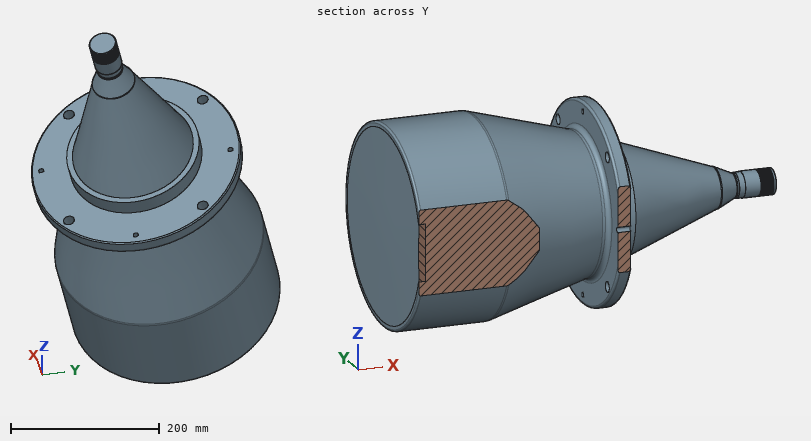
import cadquery as cq
import math

TOTAL_LENGTH = 561.5
HORN_RADIUS = 286.0 / 2

RIM_FRONT = 1.5
DRUM_END = 130.0
SHOULDER_FILLET = 11.0
RIM_ROUND = 3.0
NECK_RADIUS = 101.5
NECK_START = 278.0
NECK_FILLET = 7.0
FLANGE_FRONT = 288.5
FLANGE_THICKNESS = 19.0
FLANGE_FRONT_ROUND = 3.5
FLANGE_REAR_CHAMFER = 1.5
BOLT_CIRCLE_RADIUS = 129.0
HOLES_PER_RING = 4
BOLT_HOLE_ANGLE = 45
PIN_HOLE_ANGLE = 0
BOLT_HOLE_DIAMETER = 14.5
PIN_HOLE_DIAMETER = 7.0

LENS_RADIUS = 135.5
LENS_BACK = 11.0

COLLAR_RADIUS = 90.5
COLLAR_LENGTH = 22.5
CONE_BASE_RADIUS = 82.5
CONE_TIP_RADIUS = 29.0
CONE_END = 477.0

ADAPTER_RIM_WIDTH = 1.5
ADAPTER_TAPER_END = 504.0
ADAPTER_END = 506.0

NECK_GROOVE_END = 508.0
SHANK_RADIUS = 18.0
NECK_GROOVE_DEPTH = 0.5
NECK_GROOVE_RADIUS = SHANK_RADIUS - NECK_GROOVE_DEPTH
BARREL_START = 516.5
BARREL_RADIUS = 18.5
RING_GROOVE_START = 539.0
RING_GROOVE_PITCH = 3.5
RING_GROOVE_WIDTH = RING_GROOVE_PITCH / 2
RING_GROOVE_DEPTH = 1.0
RING_GROOVE_COUNT = 6
END_CHAMFER = 1.0

FLANGE_REAR = FLANGE_FRONT + FLANGE_THICKNESS


def turned(profile):
    """Solid of revolution about X of a profile of (x, radius) points, which is closed here."""
    return profile.close().revolve(360, (0, 0, 0), (1, 0, 0))


def flange_holes(diameter, start_angle):
    """Cutters for one ring of through holes in the flange."""
    return (
        cq.Workplane("YZ", origin=(FLANGE_FRONT, 0, 0))
        .polarArray(BOLT_CIRCLE_RADIUS, start_angle, 360, HOLES_PER_RING)
        .circle(diameter / 2)
        .extrude(FLANGE_THICKNESS)
    )


def make_horn():
    taper_angle = math.atan2(HORN_RADIUS - NECK_RADIUS, NECK_START - DRUM_END)
    tangent_length = SHOULDER_FILLET * math.tan(taper_angle / 2)
    shoulder_end = (
        DRUM_END + tangent_length * math.cos(taper_angle),
        HORN_RADIUS - tangent_length * math.sin(taper_angle),
    )
    horn = turned(
        cq.Workplane("XZ")
        .moveTo(RIM_FRONT, LENS_RADIUS)
        .lineTo(RIM_FRONT, HORN_RADIUS - RIM_ROUND)
        .radiusArc((RIM_FRONT + RIM_ROUND, HORN_RADIUS), RIM_ROUND)
        .lineTo(DRUM_END - tangent_length, HORN_RADIUS)
        .radiusArc(shoulder_end, SHOULDER_FILLET)
        .lineTo(NECK_START, NECK_RADIUS)
        .lineTo(FLANGE_FRONT - NECK_FILLET, NECK_RADIUS)
        .radiusArc((FLANGE_FRONT, NECK_RADIUS + NECK_FILLET), -NECK_FILLET)
        .lineTo(FLANGE_FRONT, HORN_RADIUS - FLANGE_FRONT_ROUND)
        .radiusArc((FLANGE_FRONT + FLANGE_FRONT_ROUND, HORN_RADIUS), FLANGE_FRONT_ROUND)
        .lineTo(FLANGE_REAR - FLANGE_REAR_CHAMFER, HORN_RADIUS)
        .lineTo(FLANGE_REAR, HORN_RADIUS - FLANGE_REAR_CHAMFER)
        .lineTo(FLANGE_REAR, 0)
        .lineTo(LENS_BACK, 0)
        .lineTo(LENS_BACK, LENS_RADIUS)
    )
    horn = horn.cut(flange_holes(BOLT_HOLE_DIAMETER, BOLT_HOLE_ANGLE))
    return horn.cut(flange_holes(PIN_HOLE_DIAMETER, PIN_HOLE_ANGLE))


def make_lens():
    return turned(
        cq.Workplane("XZ")
        .moveTo(0, 0)
        .lineTo(RIM_FRONT, LENS_RADIUS)
        .lineTo(LENS_BACK, LENS_RADIUS)
        .lineTo(LENS_BACK, 0)
    )


def make_cone():
    collar_end = FLANGE_REAR + COLLAR_LENGTH
    return turned(
        cq.Workplane("XZ")
        .moveTo(FLANGE_REAR, 0)
        .lineTo(FLANGE_REAR, COLLAR_RADIUS)
        .lineTo(collar_end, COLLAR_RADIUS)
        .lineTo(collar_end, CONE_BASE_RADIUS)
        .lineTo(CONE_END, CONE_TIP_RADIUS)
        .lineTo(CONE_END, 0)
    )


def make_adapter():
    return turned(
        cq.Workplane("XZ")
        .moveTo(CONE_END, 0)
        .lineTo(CONE_END, CONE_TIP_RADIUS)
        .lineTo(CONE_END + ADAPTER_RIM_WIDTH, CONE_TIP_RADIUS)
        .lineTo(ADAPTER_TAPER_END, NECK_GROOVE_RADIUS)
        .lineTo(ADAPTER_END, NECK_GROOVE_RADIUS)
        .lineTo(ADAPTER_END, 0)
    )


def ring_groove(start):
    """Cutter for one square ring groove in the barrel."""
    return turned(
        cq.Workplane("XZ")
        .moveTo(start, BARREL_RADIUS - RING_GROOVE_DEPTH)
        .lineTo(start, BARREL_RADIUS + RING_GROOVE_DEPTH)
        .lineTo(start + RING_GROOVE_WIDTH, BARREL_RADIUS + RING_GROOVE_DEPTH)
        .lineTo(start + RING_GROOVE_WIDTH, BARREL_RADIUS - RING_GROOVE_DEPTH)
    )


def make_connector():
    connector = turned(
        cq.Workplane("XZ")
        .moveTo(ADAPTER_END, 0)
        .lineTo(ADAPTER_END, NECK_GROOVE_RADIUS)
        .lineTo(NECK_GROOVE_END, NECK_GROOVE_RADIUS)
        .lineTo(NECK_GROOVE_END, SHANK_RADIUS)
        .lineTo(BARREL_START, SHANK_RADIUS)
        .lineTo(BARREL_START, BARREL_RADIUS)
        .lineTo(TOTAL_LENGTH - END_CHAMFER, BARREL_RADIUS)
        .lineTo(TOTAL_LENGTH, BARREL_RADIUS - END_CHAMFER)
        .lineTo(TOTAL_LENGTH, 0)
    )
    for i in range(RING_GROOVE_COUNT):
        connector = connector.cut(ring_groove(RING_GROOVE_START + i * RING_GROOVE_PITCH))
    return connector


horn = make_horn()
lens = make_lens()
cone = make_cone()
adapter = make_adapter()
connector = make_connector()
result = cq.Compound.makeCompound(
    [horn.val(), lens.val(), cone.val(), adapter.val(), connector.val()]
)